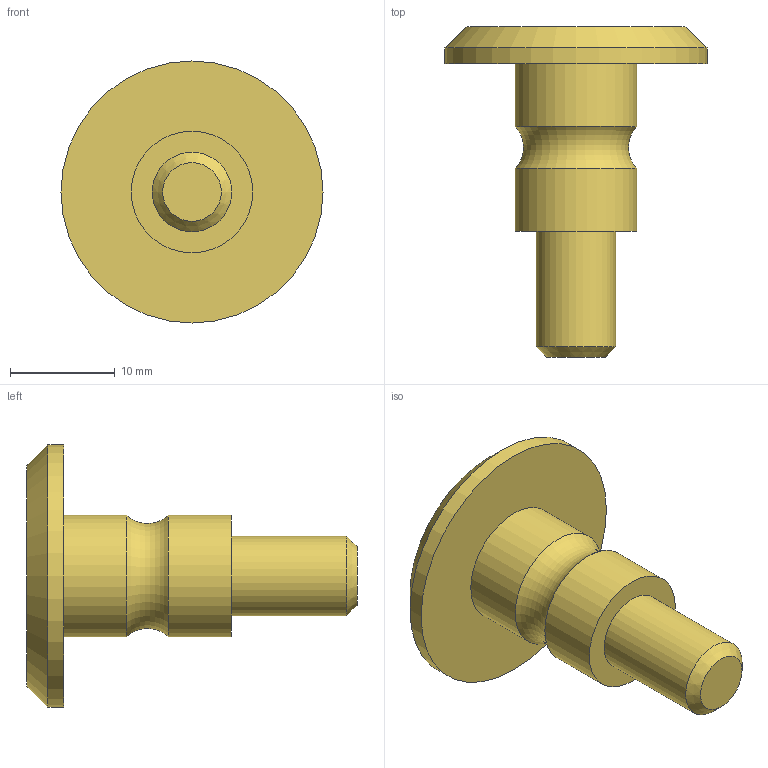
import cadquery as cq

head_diameter = 25.0
head_thickness = 3.5
head_chamfer = 2.0

shoulder_diameter = 11.6
shoulder_length = 16.0

pin_diameter = 7.6
pin_length = 12.0
pin_chamfer = 1.0

groove_width = 4.0
groove_depth = 0.8

head_radius = head_diameter / 2
shoulder_radius = shoulder_diameter / 2
pin_radius = pin_diameter / 2

groove_centre_y = -shoulder_length / 2
groove_head_side_y = groove_centre_y + groove_width / 2
groove_pin_side_y = groove_centre_y - groove_width / 2
groove_floor_radius = shoulder_radius - groove_depth

shoulder_end_y = -shoulder_length
pin_tip_y = shoulder_end_y - pin_length

half_section = (
    cq.Workplane("XY")
    .moveTo(0, head_thickness)
    .lineTo(head_radius - head_chamfer, head_thickness)
    .lineTo(head_radius, head_thickness - head_chamfer)
    .lineTo(head_radius, 0)
    .lineTo(shoulder_radius, 0)
    .lineTo(shoulder_radius, groove_head_side_y)
    .threePointArc(
        (groove_floor_radius, groove_centre_y),
        (shoulder_radius, groove_pin_side_y),
    )
    .lineTo(shoulder_radius, shoulder_end_y)
    .lineTo(pin_radius, shoulder_end_y)
    .lineTo(pin_radius, pin_tip_y + pin_chamfer)
    .lineTo(pin_radius - pin_chamfer, pin_tip_y)
    .lineTo(0, pin_tip_y)
    .close()
)

result = half_section.revolve(360, (0, 0, 0), (0, 1, 0))